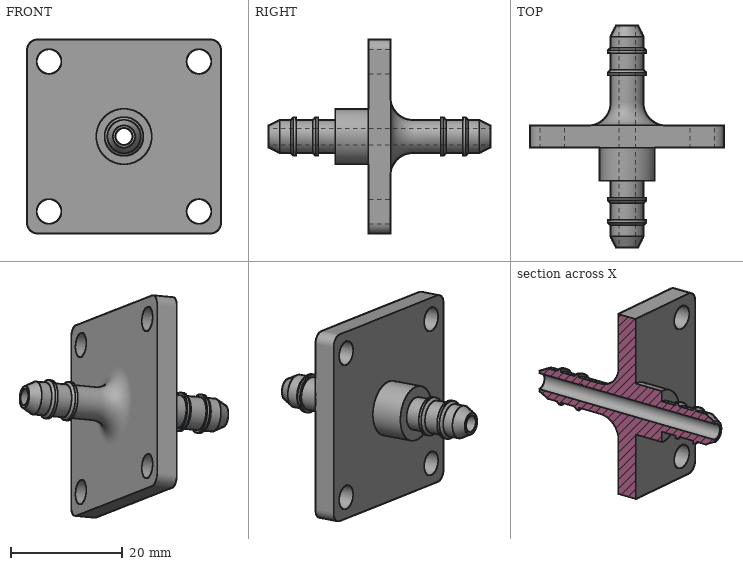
import cadquery as cq

plate_side = 35.0
plate_thickness = 4.0
corner_radius = 2.0
hole_spacing = 27.0
hole_diameter = 4.4

overall_length = 40.0
tube_diameter = 6.0
bore_diameter = 3.0
tip_diameter = 4.0
tip_length = 2.0

barb_diameter = 7.0
barb_ramp = (barb_diameter - tube_diameter) / 2
barb_land = 0.5
first_barb_from_tip = 4.0
barb_pitch = 4.0
barb_count = 2

boss_diameter = 10.0
boss_length = 6.0
flare_radius = 4.0

half_length = overall_length / 2
half_thickness = plate_thickness / 2
tube_radius = tube_diameter / 2


def make_plate():
    plate = cq.Workplane("XY").box(plate_side, plate_thickness, plate_side)
    plate = plate.edges("|Y").fillet(corner_radius)
    return (
        plate.faces("<Y").workplane(centerOption="CenterOfBoundBox")
        .rect(hole_spacing, hole_spacing, forConstruction=True)
        .vertices()
        .hole(hole_diameter)
    )


def make_connector():
    """Barbed tube from the middle of the plate to its tip at +Y."""
    outline = cq.Workplane("XY").lineTo(0, half_length).lineTo(tip_diameter / 2, half_length)
    outline = outline.lineTo(tube_radius, half_length - tip_length)
    for index in range(barb_count):
        barb_start = half_length - first_barb_from_tip - index * barb_pitch
        land_start = barb_start - barb_ramp
        land_end = land_start - barb_land
        outline = (
            outline.lineTo(tube_radius, barb_start)
            .lineTo(barb_diameter / 2, land_start)
            .lineTo(barb_diameter / 2, land_end)
            .lineTo(tube_radius, land_end)
        )
    outline = outline.lineTo(tube_radius, 0).close()
    return outline.revolve(360, (0, 0, 0), (0, 1, 0))


def make_flare():
    """Quarter-round transition from the +Y face into the tube."""
    flare_end = half_thickness + flare_radius
    outline = (
        cq.Workplane("XY")
        .lineTo(0, flare_end)
        .lineTo(tube_radius, flare_end)
        .radiusArc((tube_radius + flare_radius, half_thickness), -flare_radius)
        .lineTo(tube_radius + flare_radius, 0)
        .close()
    )
    return outline.revolve(360, (0, 0, 0), (0, 1, 0))


def make_cylinder(diameter, start, end):
    """Cylinder on the Y axis between two Y positions."""
    plane = cq.Workplane("XZ", origin=(0, end, 0))
    return plane.circle(diameter / 2).extrude(end - start)


connector = make_connector()
boss = make_cylinder(boss_diameter, -half_thickness - boss_length, 0)
bore = make_cylinder(bore_diameter, -half_length, half_length)

result = (
    make_plate()
    .union(connector)
    .union(connector.mirror("XZ"))
    .union(make_flare())
    .union(boss)
    .cut(bore)
)